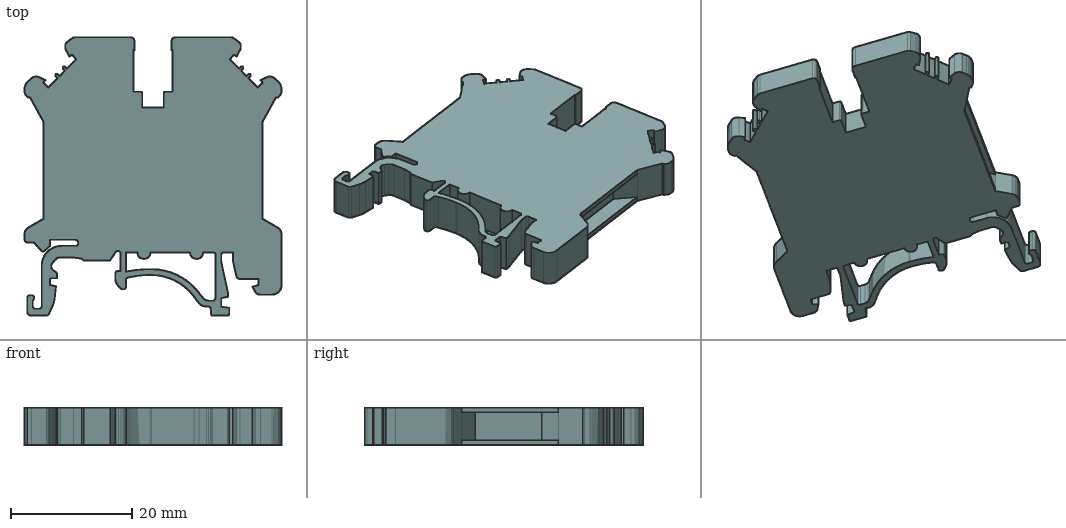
import math

import cadquery as cq


LENGTH = 42.5
HEIGHT = 46.0
THICKNESS = 6.2

HALF_LENGTH = LENGTH / 2
BODY_HALF = 18.1
END_BOTTOM = 16.0
END_TOP = 32.0
RAIL_SEAT = 10.4
LEDGE_Y = 14.2

SLOT_MOUTH_HALF = 3.05
SLOT_HALF = 3.2
SLOT_NECK_HALF = 1.75
SLOT_MOUTH_DEPTH = 2.15
SLOT_STEP_Y = 37.0
SLOT_FLOOR_Y = 34.4

GROOVE_TOP = (-12.7, 42.35)
GROOVE_BOTTOM = (-17.3, 37.7)
RIB_WIDTH = 0.5
RIB_HEIGHT = 0.65
RIB_TIP_RADIUS = 0.2
RIB_OFFSET = 0.87

SPRING_OUTER = 18.4
SPRING_BEND = 3.3
SLIT_TOP = 12.5
SLIT_BOTTOM = 11.55
HOOK_OUTER = 20.8
HOOK_INNER = 19.85
HOOK_FLOOR_Y = 1.15
HOOK_TIP_Y = 3.4
LOBE_TIP_Y = 10.55
LOBE_UNDERSIDE = 12.05

ARCH_POST_LEFT = 5.4
ARCH_NOTCH_TOP = 10.7
ARCH_WINDOW_LEFT = -4.45
ARCH_WINDOW_RIGHT = 10.3
ARCH_POST_RIGHT = 11.3
ARCH_TOP = 7.7
ARCH_UNDERSIDE = 6.7
TOE_TOP = 1.5
ARCH_WINDOW_FLOOR = 2.5
BUMP_CENTRES = (-1.5, 7.2)
BUMP_HALF_WIDTH = 1.1
BUMP_HEIGHT = 1.05

RIGID_FOOT_Y = 3.45
RIGID_FOOT_SEAT = 6.05
LIP_ROOT = 17.4

POCKET_DEPTH = 2.85
POCKET_WALL = 0.8
POCKET_FLOOR_BOTTOM = 18.25
POCKET_FLOOR_TOP = 29.2


def rounded_outline(corners):
    """Closed outline from (x, y) or (x, y, radius) corners, ready to extrude."""
    count = len(corners)
    tangents = []
    for i, corner in enumerate(corners):
        here = cq.Vector(corner[0], corner[1])
        if len(corner) == 2:
            tangents.append((here, None, here))
            continue
        to_last = (cq.Vector(*corners[i - 1][:2]) - here).normalized()
        to_next = (cq.Vector(*corners[(i + 1) % count][:2]) - here).normalized()
        half_angle = to_last.getAngle(to_next) / 2
        radius = corner[2]
        setback = radius / math.tan(half_angle)
        bisector = (to_last + to_next).normalized()
        middle = here + bisector * (radius / math.sin(half_angle) - radius)
        tangents.append((here + to_last * setback, middle, here + to_next * setback))

    outline = cq.Workplane("XY").moveTo(*tangents[0][2].toTuple()[:2])
    for start, middle, end in tangents[1:] + tangents[:1]:
        outline = outline.lineTo(start.x, start.y)
        if middle is not None:
            outline = outline.threePointArc((middle.x, middle.y), (end.x, end.y))
    return outline.close()


def plate(corners):
    """Full-thickness plate with the given rounded outline."""
    return rounded_outline(corners).extrude(THICKNESS)


def mirrored(corners):
    """Corners reflected in X = 0, listed in the opposite direction."""
    return [(-corner[0],) + tuple(corner[1:]) for corner in reversed(corners)]


def groove_ribs():
    """Corners of the two small ribs standing on the floor of the left marker groove."""
    top = cq.Vector(*GROOVE_TOP)
    bottom = cq.Vector(*GROOVE_BOTTOM)
    middle = (top + bottom) * 0.5
    along = (bottom - top).normalized()
    outward = cq.Vector(along.y, -along.x)
    ribs = []
    for offset in (-RIB_OFFSET, RIB_OFFSET):
        near = middle + along * (offset - RIB_WIDTH / 2)
        far = middle + along * (offset + RIB_WIDTH / 2)
        near_tip = near + outward * RIB_HEIGHT
        far_tip = far + outward * RIB_HEIGHT
        ribs += [
            (near.x, near.y),
            (near_tip.x, near_tip.y, RIB_TIP_RADIUS),
            (far_tip.x, far_tip.y, RIB_TIP_RADIUS),
            (far.x, far.y),
        ]
    return ribs


def upper_left_corners():
    """From the slot floor over both lugs and down the left end."""
    slot = [
        (-SLOT_NECK_HALF, SLOT_FLOOR_Y),
        (-SLOT_NECK_HALF, SLOT_STEP_Y, 0.3),
        (-SLOT_HALF, SLOT_STEP_Y),
        (-SLOT_HALF, HEIGHT - SLOT_MOUTH_DEPTH),
        (-SLOT_MOUTH_HALF, HEIGHT - SLOT_MOUTH_DEPTH),
        (-SLOT_MOUTH_HALF, HEIGHT, 0.7),
    ]
    top_lug = [
        (-13.1, HEIGHT, 0.8),
        (-14.85, 44.75, 1.1),
        (-13.8, 42.75),
        (-13.4, 43.1),
        GROOVE_TOP,
    ]
    side_lug = [
        GROOVE_BOTTOM,
        (-18.1, 38.5),
        (-17.75, 38.9),
        (-19.5, 39.75, 1.2),
        (-HALF_LENGTH, 38.15, 1.8),
        (-HALF_LENGTH, 36.6, 1.2),
        (-20.6, 36.0),
        (-20.3, 36.0),
    ]
    return slot + top_lug + groove_ribs() + side_lug + [(-BODY_HALF, END_TOP), (-BODY_HALF, END_BOTTOM)]


def spring_foot_corners():
    """Lower left lobe, the slit above the spring foot, its hook and its inner side."""
    lobe = [
        (-HALF_LENGTH, LEDGE_Y, 1.4),
        (-HALF_LENGTH, LOBE_UNDERSIDE, 0.6),
        (-19.65, LOBE_UNDERSIDE),
        (-18.3, LOBE_TIP_Y),
        (-18.1, LOBE_TIP_Y),
        (-17.0, 11.5),
    ]
    slit = [
        (-17.0, SLIT_TOP),
        (-12.35, SLIT_TOP, 0.47),
        (-12.35, SLIT_BOTTOM, 0.47),
    ]
    hook = [
        (-SPRING_OUTER, SLIT_BOTTOM, SPRING_BEND),
        (-SPRING_OUTER, HOOK_FLOOR_Y, 0.4),
        (-HOOK_INNER, HOOK_FLOOR_Y, 0.4),
        (-HOOK_INNER, 2.4),
        (-19.6, 2.9),
        (-19.6, HOOK_TIP_Y, 0.45),
        (-HOOK_OUTER, HOOK_TIP_Y, 0.5),
        (-HOOK_OUTER, 0, 0.7),
    ]
    inner_side = [
        (-17.3, 0, 0.5),
        (-16.3, 2.2, 4.0),
        (-16.0, 4.85),
        (-17.0, 5.1),
        (-17.0, 6.15, 0.2),
        (-15.85, 6.15),
        (-15.85, 7.1, 0.4),
        (-17.2, 8.0, 0.8),
        (-15.8, 9.6, 1.0),
        (-13.2, 9.6),
        (-11.8, 9.4),
        (-11.45, 9.1),
        (-7.1, 9.1),
    ]
    return lobe + slit + hook + inner_side


def rail_arch_corners():
    """Left post with its rounded toe, the underside of the arch and the right toe."""
    left_post = [
        (-6.0, ARCH_NOTCH_TOP, 0.35),
        (-ARCH_POST_LEFT, ARCH_NOTCH_TOP, 0.4),
        (-ARCH_POST_LEFT, 7.4),
        (-6.25, 7.4, 0.5),
        (-6.25, 5.4, 1.8),
        (-5.2, 4.35, 0.5),
        (ARCH_WINDOW_LEFT, 4.35, 0.4),
    ]
    underside = [
        (ARCH_WINDOW_LEFT, 6.2, 0.4),
        (-2.2, ARCH_UNDERSIDE, 15.0),
        (4.05, ARCH_UNDERSIDE, 8.8),
        (8.0, TOE_TOP, 1.6),
    ]
    right_toe = [
        (9.5, TOE_TOP, 0.4),
        (9.6, 0, 0.2),
        (12.6, 0, 0.3),
        (12.6, 1.3),
        (ARCH_POST_RIGHT, TOE_TOP),
        (ARCH_POST_RIGHT, 2.9),
        (12.4, 3.1),
        (12.4, 3.8),
        (ARCH_POST_RIGHT, 8.85),
        (ARCH_POST_RIGHT, RAIL_SEAT, 0.3),
    ]
    return left_post + underside + right_toe


def rigid_foot_corners():
    """Fixed right foot with the lip that hooks under the rail."""
    return [
        (13.2, RAIL_SEAT),
        (13.2, 9.0),
        (13.85, RIGID_FOOT_SEAT, 0.6),
        (LIP_ROOT, RIGID_FOOT_SEAT),
        (LIP_ROOT, 5.05),
        (16.4, 4.8),
        (17.15, RIGID_FOOT_Y, 1.0),
        (HALF_LENGTH, RIGID_FOOT_Y, 1.6),
        (HALF_LENGTH, LEDGE_Y, 1.4),
    ]


def arch_window():
    """Opening between the rail seat and the arched spring."""
    return plate([
        (ARCH_WINDOW_LEFT, RAIL_SEAT),
        (ARCH_WINDOW_LEFT, 7.3),
        (-2.3, ARCH_TOP, 20.0),
        (4.5, ARCH_TOP, 9.8),
        (8.6, ARCH_WINDOW_FLOOR, 1.2),
        (ARCH_WINDOW_RIGHT, ARCH_WINDOW_FLOOR, 0.4),
        (ARCH_WINDOW_RIGHT, RAIL_SEAT, 0.3),
    ])


def rail_bump(centre_x):
    """Rounded bump hanging from the rail seat."""
    return (
        cq.Workplane("XY")
        .moveTo(centre_x - BUMP_HALF_WIDTH, RAIL_SEAT)
        .threePointArc((centre_x, RAIL_SEAT - BUMP_HEIGHT), (centre_x + BUMP_HALF_WIDTH, RAIL_SEAT))
        .close()
        .extrude(THICKNESS)
    )


def end_pocket():
    """Funnel-shaped pocket in the left end, leaving a thin wall on both faces."""
    return (
        cq.Workplane("XY")
        .workplane(offset=POCKET_WALL)
        .moveTo(-BODY_HALF, END_BOTTOM)
        .lineTo(-BODY_HALF + POCKET_DEPTH, POCKET_FLOOR_BOTTOM)
        .lineTo(-BODY_HALF + POCKET_DEPTH, POCKET_FLOOR_TOP)
        .lineTo(-BODY_HALF, END_TOP)
        .close()
        .extrude(THICKNESS - 2 * POCKET_WALL)
    )


upper_left = upper_left_corners()
lower_edge = spring_foot_corners() + rail_arch_corners() + rigid_foot_corners()
result = plate(upper_left + lower_edge + mirrored(upper_left))

result = result.cut(arch_window())
for bump_x in BUMP_CENTRES:
    result = result.union(rail_bump(bump_x))

left_pocket = end_pocket()
result = result.cut(left_pocket).cut(left_pocket.mirror("YZ"))